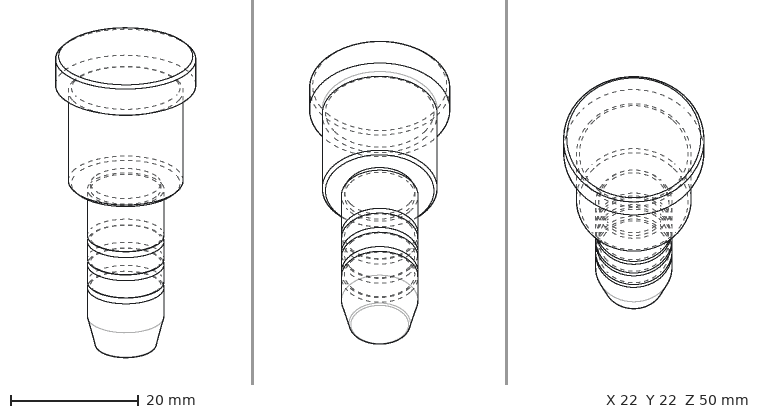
import cadquery as cq

total_length = 50.0
head_radius = 11.0
head_height = 5.0
head_chamfer = 0.5

shoulder_radius = 9.0
shoulder_bottom = 28.0
shoulder_chamfer = 0.5

shank_radius = 6.0
neck_radius = 5.5
neck_height = 1.0
taper_height = 5.0
tip_radius = 4.75
tip_fillet = 0.3

groove_radius = 0.5
shank_groove_heights = (10.5, 14.5, 18.5)

head_bottom = total_length - head_height


def cylinder(radius, bottom, top):
    """Cylinder on the Z axis between two heights."""
    return cq.Workplane("XY").workplane(offset=bottom).circle(radius).extrude(top - bottom)


def groove(radius, height):
    """Ring of round section centred on a cylindrical surface."""
    return cq.Workplane(cq.Solid.makeTorus(radius, groove_radius, cq.Vector(0, 0, height)))


def make_head():
    return cylinder(head_radius, head_bottom, total_length).faces(">Z").chamfer(head_chamfer)


def make_shoulder():
    shoulder = cylinder(shoulder_radius, shoulder_bottom, head_bottom)
    shoulder = shoulder.faces("<Z").chamfer(shoulder_chamfer)
    return shoulder.cut(groove(shoulder_radius, head_bottom - groove_radius))


def make_shank():
    neck_bottom = shoulder_bottom - neck_height
    taper = (
        cq.Workplane("XY")
        .circle(tip_radius)
        .workplane(offset=taper_height)
        .circle(shank_radius)
        .loft()
        .faces("<Z")
        .edges()
        .fillet(tip_fillet)
    )
    shank = taper.union(cylinder(shank_radius, taper_height, neck_bottom))
    for height in shank_groove_heights:
        shank = shank.cut(groove(shank_radius, height))
    return shank.union(cylinder(neck_radius, neck_bottom, shoulder_bottom))


result = make_head().union(make_shoulder()).union(make_shank())